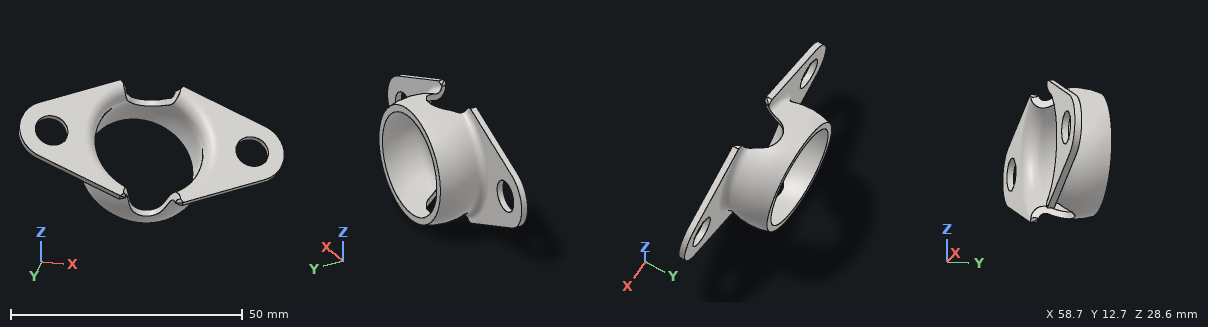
import cadquery as cq
import math

length = 58.72
height = 28.57
depth = 12.7
sheet = 1.52
bolt_hole_diameter = 7.14
end_radius = 7.14

sphere_radius = height / 2
sphere_center_y = 7.94
bend_radius = sheet

hole_x = length / 2 - end_radius
hub_radius = 15.875
tip_x = 6.96
tip_mid_x, tip_mid_z = 6.28, 14.08
tip_end_x, tip_end_z = 5.55, 13.7

tip_cut_outer = cq.Vector(-tip_x, 0, 14.3)
tip_cut_inner = cq.Vector(-6.4, 0, 13.6)
tip_cut_back = cq.Vector(-5.55, 1.45, 13.7)
tip_cutter_size = 2.0

notch_head_radius = 4.0
notch_depth = sphere_center_y
notch_lean = math.radians(24)
notch_mouth_start_x = 5.55
notch_mouth_half_width = 6.35
notch_mouth_bulge = 0.1


def shell():
    """Sheet turned about the Y axis: flange disc, bend and spherical band."""
    bend_y = sheet + bend_radius
    rise = sphere_center_y - bend_y
    bend_r = math.sqrt((sphere_radius + bend_radius) ** 2 - rise**2)
    joint_angle = math.atan2(rise, bend_r)
    disc_radius = length

    def on_sphere(radius, angle):
        return (radius * math.cos(angle), sphere_center_y + radius * math.sin(angle))

    def on_bend(radius, angle):
        return (bend_r - radius * math.cos(angle), bend_y + radius * math.sin(angle))

    def rim(radius):
        return on_sphere(radius, math.asin((depth - sphere_center_y) / radius))

    inner_radius = sphere_radius - sheet
    inner_bend = bend_radius + sheet
    mid_angle = (joint_angle - math.pi / 2) / 2
    section = (
        cq.Workplane("XY")
        .moveTo(disc_radius, 0)
        .lineTo(bend_r, 0)
        .threePointArc(on_bend(inner_bend, mid_angle), on_sphere(inner_radius, -joint_angle))
        .threePointArc(on_sphere(inner_radius, 0), rim(inner_radius))
        .lineTo(*rim(sphere_radius))
        .threePointArc(on_sphere(sphere_radius, 0), on_sphere(sphere_radius, -joint_angle))
        .threePointArc(on_bend(bend_radius, mid_angle), (bend_r, sheet))
        .lineTo(disc_radius, sheet)
        .close()
    )
    return section.revolve(360, (0, 0, 0), (0, 1, 0))


def plate_outline():
    """Flange outline as a prism through the sheet thickness."""
    taper = math.asin((hub_radius - end_radius) / hole_x)
    end_x = hole_x + end_radius * math.sin(taper)
    end_z = end_radius * math.cos(taper)
    tip_z = (hub_radius - tip_x * math.sin(taper)) / math.cos(taper)
    round_mid_angle = (math.pi / 2 - taper) / 2
    round_mid_x = hole_x + end_radius * math.cos(round_mid_angle)
    round_mid_z = end_radius * math.sin(round_mid_angle)
    upper_half = (
        cq.Workplane("XZ")
        .moveTo(-length / 2, 0)
        .threePointArc((-round_mid_x, round_mid_z), (-end_x, end_z))
        .lineTo(-tip_x, tip_z)
        .threePointArc((-tip_mid_x, tip_mid_z), (-tip_end_x, tip_end_z))
        .lineTo(tip_end_x, tip_end_z)
        .threePointArc((tip_mid_x, tip_mid_z), (tip_x, tip_z))
        .lineTo(end_x, end_z)
        .threePointArc((round_mid_x, round_mid_z), (length / 2, 0))
    )
    return upper_half.mirrorX().extrude(-sheet)


def ring_envelope():
    """Cylinder behind the flange that holds the whole ring."""
    return cq.Workplane("XZ", origin=(0, sheet, 0)).circle(height).extrude(sheet - depth)


def notch():
    """Notch cutter running through the top and bottom of the ring."""
    head_y = notch_depth - notch_head_radius
    side_x = notch_head_radius * math.cos(notch_lean)
    side_y = head_y + notch_head_radius * math.sin(notch_lean)
    mouth_x = notch_mouth_start_x
    mouth_y = side_y - (mouth_x - side_x) / math.tan(notch_lean)
    profile = (
        cq.Workplane("XY")
        .moveTo(-notch_mouth_half_width, 0)
        .sagittaArc((-mouth_x, mouth_y), -notch_mouth_bulge)
        .lineTo(-side_x, side_y)
        .threePointArc((0, notch_depth), (side_x, side_y))
        .lineTo(mouth_x, mouth_y)
        .sagittaArc((notch_mouth_half_width, 0), -notch_mouth_bulge)
        .close()
    )
    return profile.extrude(height, both=True)


def bolt_holes():
    """Cutters for the two bolt holes in the flange ends."""
    holes = cq.Workplane("XZ").pushPoints([(-hole_x, 0), (hole_x, 0)])
    return holes.circle(bolt_hole_diameter / 2).extrude(-sheet)


def tip_cuts():
    """Four mirrored blocks that slant the front of the flange tips."""
    front_edge = tip_cut_inner - tip_cut_outer
    outward = front_edge.cross(tip_cut_back - tip_cut_outer)
    plane = cq.Plane(origin=tip_cut_inner, xDir=front_edge, normal=outward)
    block = cq.Workplane(plane).rect(2 * tip_cutter_size, 2 * tip_cutter_size).extrude(tip_cutter_size)
    side_pair = block.union(block.mirror("YZ"))
    return side_pair.union(side_pair.mirror("XY"))


envelope = plate_outline().union(ring_envelope())
result = shell().intersect(envelope).cut(notch()).cut(tip_cuts()).cut(bolt_holes())